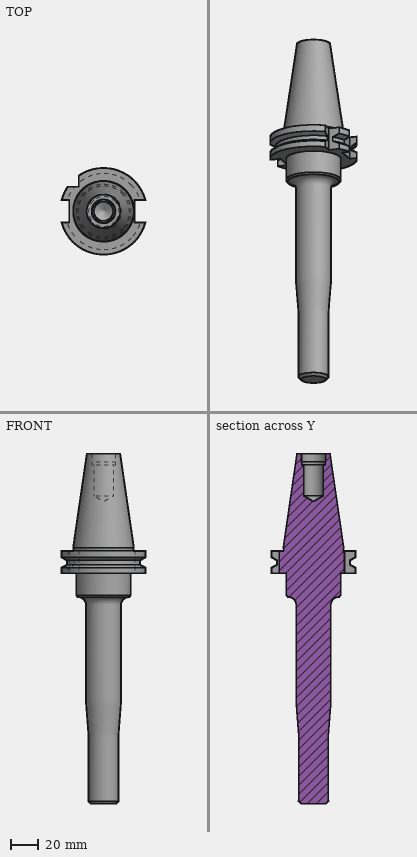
import cadquery as cq
import math

TOTAL_LENGTH = 256.2
TAPER_BASE_Z = 187.3
NECK_TOP_Z = 186.0
FLANGE_TOP_Z = 185.0
FLANGE_BOTTOM_Z = 168.5
COLLAR_BOTTOM_Z = 151.2
CONE_TOP_Z = 74.8
CONE_BOTTOM_Z = 50.2

TAPER_BASE_RADIUS = 22.3
TAPER_RATIO = 7 / 24
NECK_RADIUS = 44.0 / 2
FLANGE_RADIUS = 63.5 / 2
COLLAR_RADIUS = 40.0 / 2
BODY_RADIUS = 26.0 / 2
SHANK_RADIUS = 22.0 / 2

COLLAR_CHAMFER = 1.3
COLLAR_FILLET = 5.5
CONE_BLEND = 1.92
SHANK_CHAMFER = 2.0

GROOVE_RADIUS = 28.0
GROOVE_CENTRE_Z = 176.5
GROOVE_FLOOR_WIDTH = 3.0
GROOVE_FLANK_ANGLE = 30

SLOT_WIDTH = 16.1
LEFT_SLOT_FLOOR = 25.0
RIGHT_SLOT_FLOOR = 22.8
NOTCH_X = 18.2
NOTCH_Y = 18.0

MOUTH_DIAMETER = 17.5
COUNTERBORE_DIAMETER = 17.0
MOUTH_DEPTH = 6.2
COUNTERBORE_DEPTH = 8.2
BORE_DIAMETER = 14.0
BORE_DEPTH = 30.8
DRILL_POINT_ANGLE = 118


def make_body():
    """Revolve the taper, flange, collar and stepped shank as one profile."""
    taper_length = TOTAL_LENGTH - TAPER_BASE_Z
    taper_top_radius = TAPER_BASE_RADIUS - taper_length * TAPER_RATIO / 2
    cone_angle = math.atan2(BODY_RADIUS - SHANK_RADIUS, CONE_TOP_Z - CONE_BOTTOM_Z)
    blend_r = CONE_BLEND * math.sin(cone_angle)
    blend_z = CONE_BLEND * math.cos(cone_angle)
    fillet_centre = (BODY_RADIUS + COLLAR_FILLET, COLLAR_BOTTOM_Z - COLLAR_FILLET)
    fillet_reach = COLLAR_FILLET * math.sqrt(0.5)
    profile = (
        cq.Workplane("XZ")
        .moveTo(0, TOTAL_LENGTH)
        .lineTo(taper_top_radius, TOTAL_LENGTH)
        .lineTo(TAPER_BASE_RADIUS, TAPER_BASE_Z)
        .lineTo(NECK_RADIUS, NECK_TOP_Z)
        .lineTo(NECK_RADIUS, FLANGE_TOP_Z)
        .lineTo(FLANGE_RADIUS, FLANGE_TOP_Z)
        .lineTo(FLANGE_RADIUS, FLANGE_BOTTOM_Z)
        .lineTo(COLLAR_RADIUS, FLANGE_BOTTOM_Z)
        .lineTo(COLLAR_RADIUS, COLLAR_BOTTOM_Z + COLLAR_CHAMFER)
        .lineTo(COLLAR_RADIUS - COLLAR_CHAMFER, COLLAR_BOTTOM_Z)
        .lineTo(BODY_RADIUS + COLLAR_FILLET, COLLAR_BOTTOM_Z)
        .threePointArc(
            (fillet_centre[0] - fillet_reach, fillet_centre[1] + fillet_reach),
            (BODY_RADIUS, COLLAR_BOTTOM_Z - COLLAR_FILLET),
        )
        .lineTo(BODY_RADIUS, CONE_TOP_Z + CONE_BLEND)
        .tangentArcPoint((BODY_RADIUS - blend_r, CONE_TOP_Z - blend_z), relative=False)
        .lineTo(SHANK_RADIUS + blend_r, CONE_BOTTOM_Z + blend_z)
        .tangentArcPoint((SHANK_RADIUS, CONE_BOTTOM_Z - CONE_BLEND), relative=False)
        .lineTo(SHANK_RADIUS, SHANK_CHAMFER)
        .lineTo(SHANK_RADIUS - SHANK_CHAMFER, 0)
        .lineTo(0, 0)
        .close()
    )
    return profile.revolve(360, (0, 0), (0, 1))


def make_groove():
    """Ring with sloping flanks that cuts the V-groove."""
    flank_rise = (FLANGE_RADIUS - GROOVE_RADIUS) * math.tan(math.radians(GROOVE_FLANK_ANGLE))
    half_floor = GROOVE_FLOOR_WIDTH / 2
    half_mouth = half_floor + flank_rise
    return (
        cq.Workplane("XZ")
        .moveTo(GROOVE_RADIUS, GROOVE_CENTRE_Z + half_floor)
        .lineTo(FLANGE_RADIUS, GROOVE_CENTRE_Z + half_mouth)
        .lineTo(FLANGE_RADIUS, GROOVE_CENTRE_Z - half_mouth)
        .lineTo(GROOVE_RADIUS, GROOVE_CENTRE_Z - half_floor)
        .close()
        .revolve(360, (0, 0), (0, 1))
    )


def flange_cutter(x_min, x_max, y_min, y_max):
    """Box through the full thickness of the flange."""
    return (
        cq.Workplane("XY")
        .box(x_max - x_min, y_max - y_min, FLANGE_TOP_Z - FLANGE_BOTTOM_Z, centered=False)
        .translate((x_min, y_min, FLANGE_BOTTOM_Z))
    )


def make_bore():
    """Two-step counterbore and drilled hole with a conical bottom."""
    mouth_radius = MOUTH_DIAMETER / 2
    counterbore_radius = COUNTERBORE_DIAMETER / 2
    bore_radius = BORE_DIAMETER / 2
    floor_z = TOTAL_LENGTH - BORE_DEPTH
    point_depth = bore_radius / math.tan(math.radians(DRILL_POINT_ANGLE / 2))
    return (
        cq.Workplane("XZ")
        .moveTo(0, TOTAL_LENGTH)
        .lineTo(mouth_radius, TOTAL_LENGTH)
        .lineTo(mouth_radius, TOTAL_LENGTH - MOUTH_DEPTH)
        .lineTo(counterbore_radius, TOTAL_LENGTH - MOUTH_DEPTH)
        .lineTo(counterbore_radius, TOTAL_LENGTH - COUNTERBORE_DEPTH)
        .lineTo(bore_radius, TOTAL_LENGTH - COUNTERBORE_DEPTH)
        .lineTo(bore_radius, floor_z)
        .lineTo(0, floor_z - point_depth)
        .close()
        .revolve(360, (0, 0), (0, 1))
    )


left_slot = flange_cutter(-FLANGE_RADIUS, -LEFT_SLOT_FLOOR, -SLOT_WIDTH / 2, SLOT_WIDTH / 2)
right_slot = flange_cutter(RIGHT_SLOT_FLOOR, FLANGE_RADIUS, -SLOT_WIDTH / 2, SLOT_WIDTH / 2)
notch = flange_cutter(-FLANGE_RADIUS, -NOTCH_X, NOTCH_Y, FLANGE_RADIUS)

result = make_body()
for cutter in (make_groove(), left_slot, right_slot, notch, make_bore()):
    result = result.cut(cutter)